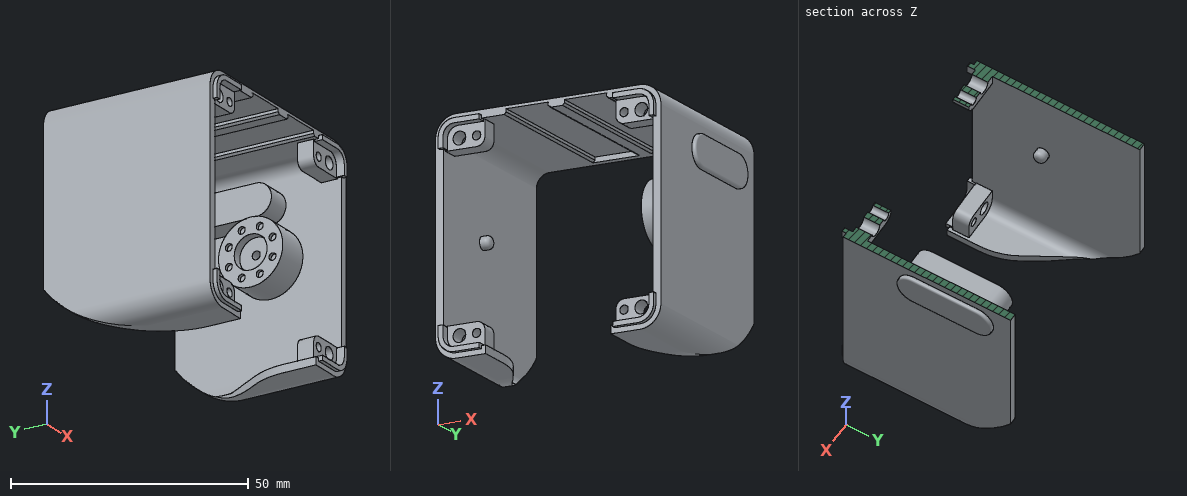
import cadquery as cq
import math

BODY_SIZE = 54.0
BODY_DEPTH = 41.5
WALL = 1.9
OUTER_RADIUS = 5.0
OVERALL_WIDTH = 55.0

LIP_LENGTH = 12.05
FLARE_START = 12.6
FLARE_ANGLE = 30.0
FLARE_RADIUS = 17.05
FLARE_SIDE = 2.7

REAR_CUT_HEIGHT = 11.55
REAR_CUT_LENGTH = 23.2

CHANNEL_WIDTH = 10.05
CHANNEL_PITCH = 13.95
CHANNEL_ROOF = 0.7
CHANNEL_CHAMFER = 0.5
CHANNEL_SHIFT = 2.0

BLOCK_WIDTH = 11.35
BLOCK_HEIGHT = 7.7
BLOCK_DEPTH = 4.0
BLOCK_RECESS = 1.0
BLOCK_FILLET = 2.0
LARGE_HOLE = 3.0
SMALL_HOLE = 2.0
HOLE_INSET = 5.2
HOLE_SPACING = 4.1

TAB_OUTER_INSET = 1.2
TAB_INNER_INSET = 2.35
TAB_PROJECTION = 1.0
TAB_WIDTH = 11.0
TAB_HEIGHT = 7.5

AXIS_Y = 17.6
AXIS_Z = 30.45
HUB_DIAMETER = 16.0
HUB_REACH = 9.9
HUB_RECESS_DIAMETER = 8.2
HUB_RECESS_DEPTH = 2.2
HUB_CENTER_HOLE = 2.0
HUB_CENTER_DEPTH = 2.75
HUB_HOLE = 1.7
HUB_HOLE_DEPTH = 0.8
HUB_HOLE_COUNT = 8
HUB_HOLE_CIRCLE = 11.75
PIN_DIAMETER = 3.0
PIN_LENGTH = 2.2
PIN_FILLET = 1.0

PAD_HEIGHT = 7.7
PAD_LENGTH = 23.5
PAD_BACK_GAP = 4.25
PAD_Z = 43.2
PAD_REACH = 7.7
PAD_FILLET = 0.5

HALF = BODY_SIZE / 2


def box(x0, x1, y0, y1, z0, z1):
    """Box between the given coordinates."""
    return cq.Workplane("XY", origin=(x0, y0, z0)).box(x1 - x0, y1 - y0, z1 - z0, centered=False)


def rounded_bar(inset, y0, y1):
    """Square bar along Y, inset from the shell outside, with concentric corners."""
    bar = box(inset - HALF, HALF - inset, y0, y1, inset, BODY_SIZE - inset)
    return bar.edges("|Y").fillet(OUTER_RADIUS - inset)


def disc(diameter, x0, x1, y=AXIS_Y, z=AXIS_Z):
    """Cylinder along X, on the hub axis unless placed elsewhere."""
    return cq.Workplane("YZ", origin=(x0, y, z)).circle(diameter / 2).extrude(x1 - x0)


def bottom_opening():
    """Opening whose edges run straight back, lean outward and straighten again."""
    angle = math.radians(FLARE_ANGLE)
    narrow = HALF - LIP_LENGTH
    wide = HALF - FLARE_SIDE
    bend = FLARE_RADIUS * math.tan(angle / 2)
    flare_end = FLARE_START + (wide - narrow) / math.tan(angle)
    return (
        cq.Workplane("XY")
        .moveTo(0, 0)
        .lineTo(narrow, 0)
        .lineTo(narrow, FLARE_START - bend)
        .tangentArcPoint(
            (narrow + bend * math.sin(angle), FLARE_START + bend * math.cos(angle)),
            relative=False,
        )
        .lineTo(wide - bend * math.sin(angle), flare_end - bend * math.cos(angle))
        .tangentArcPoint((wide, flare_end + bend), relative=False)
        .lineTo(wide, BODY_DEPTH)
        .lineTo(0, BODY_DEPTH)
        .mirrorY()
        .extrude(OUTER_RADIUS)
    )


def rear_cut():
    """Cut under an arc that starts tangent to the bottom and ends on the back."""
    radius = (REAR_CUT_LENGTH**2 + REAR_CUT_HEIGHT**2) / (2 * REAR_CUT_HEIGHT)
    start = BODY_DEPTH - REAR_CUT_LENGTH
    mid_angle = math.asin(REAR_CUT_LENGTH / radius) / 2
    arc_middle = (start + radius * math.sin(mid_angle), radius * (1 - math.cos(mid_angle)))
    return (
        cq.Workplane("YZ", origin=(-HALF, 0, 0))
        .moveTo(start, 0)
        .threePointArc(arc_middle, (BODY_DEPTH, REAR_CUT_HEIGHT))
        .lineTo(BODY_DEPTH, 0)
        .close()
        .extrude(BODY_SIZE)
    )


def channel(middle):
    """Channel in the top wall, open at the front, with chamfered lower edges."""
    half = CHANNEL_WIDTH / 2
    roof = BODY_SIZE - CHANNEL_ROOF
    ceiling = BODY_SIZE - WALL
    return (
        cq.Workplane("XZ", origin=(middle, 0, 0))
        .moveTo(-half, roof)
        .lineTo(half, roof)
        .lineTo(half, ceiling + CHANNEL_CHAMFER)
        .lineTo(half + CHANNEL_CHAMFER, ceiling)
        .lineTo(-half - CHANNEL_CHAMFER, ceiling)
        .lineTo(-half, ceiling + CHANNEL_CHAMFER)
        .close()
        .extrude(WALL - BODY_DEPTH)
    )


def corner_mounts():
    """Screw block and locating tab, copied to all four corners."""
    back = BLOCK_RECESS + BLOCK_DEPTH
    block = box(-HALF, BLOCK_WIDTH - HALF, BLOCK_RECESS, back, 0, BLOCK_HEIGHT)
    block = block.edges("|Y and >X and >Z").fillet(BLOCK_FILLET)
    block = block.intersect(rounded_bar(0, 0, BODY_DEPTH))

    ring = rounded_bar(TAB_OUTER_INSET, -TAB_PROJECTION, back)
    ring = ring.cut(rounded_bar(TAB_INNER_INSET, -TAB_PROJECTION, back))
    tab = ring.intersect(box(-HALF, TAB_WIDTH - HALF, -TAB_PROJECTION, back, 0, TAB_HEIGHT))

    corner = block.union(tab)
    for inset, diameter in ((HOLE_INSET, LARGE_HOLE), (HOLE_INSET + HOLE_SPACING, SMALL_HOLE)):
        hole_start = cq.Workplane("XZ", origin=(inset - HALF, 0, HOLE_INSET))
        corner = corner.cut(hole_start.circle(diameter / 2).extrude(-back))

    lower_pair = corner.union(corner.mirror("YZ"))
    return lower_pair.union(lower_pair.mirror("XY", (0, 0, HALF)))


def hub():
    """Hub on the right wall with a stepped centre and a ring of shallow holes."""
    face = HALF - HUB_REACH
    floor = face + HUB_RECESS_DEPTH
    body = disc(HUB_DIAMETER, face, HALF)
    body = body.cut(disc(HUB_RECESS_DIAMETER, face, floor))
    body = body.cut(disc(HUB_CENTER_HOLE, floor, floor + HUB_CENTER_DEPTH))
    for index in range(HUB_HOLE_COUNT):
        angle = 2 * math.pi * (index + 0.5) / HUB_HOLE_COUNT
        y = AXIS_Y + HUB_HOLE_CIRCLE / 2 * math.cos(angle)
        z = AXIS_Z + HUB_HOLE_CIRCLE / 2 * math.sin(angle)
        body = body.cut(disc(HUB_HOLE, face, face + HUB_HOLE_DEPTH, y, z))
    return body


def pin():
    """Round-nosed pin on the left wall."""
    body = disc(PIN_DIAMETER, -HALF, WALL + PIN_LENGTH - HALF)
    return body.faces(">X").edges().fillet(PIN_FILLET)


def pad():
    """Oblong pad standing out on both sides of the right wall."""
    middle_y = BODY_DEPTH - PAD_BACK_GAP - PAD_LENGTH / 2
    body = (
        cq.Workplane("YZ", origin=(HALF - PAD_REACH, middle_y, PAD_Z))
        .slot2D(PAD_LENGTH, PAD_HEIGHT)
        .extrude(PAD_REACH + OVERALL_WIDTH - BODY_SIZE)
    )
    return body.faces(">X").edges().fillet(PAD_FILLET)


shell = rounded_bar(0, 0, BODY_DEPTH).cut(rounded_bar(WALL, 0, BODY_DEPTH))
shell = shell.cut(bottom_opening()).cut(rear_cut())
for side in (-1, 1):
    shell = shell.cut(channel(CHANNEL_SHIFT + side * CHANNEL_PITCH / 2))

result = shell.union(corner_mounts()).union(hub()).union(pin()).union(pad())